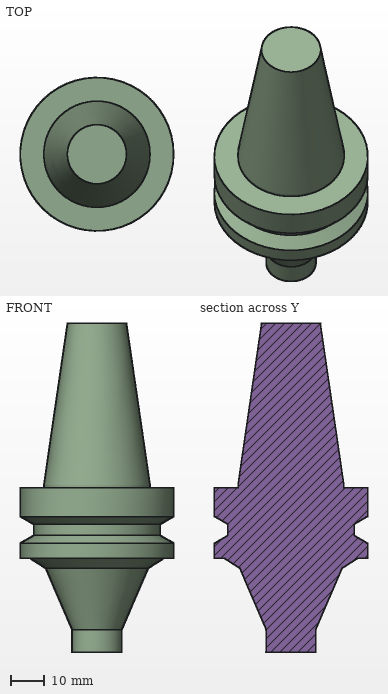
import cadquery as cq
import math

flange_diameter = 46.0
groove_diameter = 38.0
taper_large_diameter = 31.8
taper_ratio = 7 / 24
nose_diameter = 15.0
body_diameter = 30.7
shoulder_diameter = 39.95

nose_top = 6.8
body_top = 25.1
flange_bottom = 28.0
flange_top = 49.2
taper_bottom = 50.1
total_height = 98.4

groove_center = 36.6
groove_floor_width = 3.3
groove_wall_angle = 30.0

groove_depth = (flange_diameter - groove_diameter) / 2
wall_height = groove_depth * math.tan(math.radians(groove_wall_angle))
floor_bottom = groove_center - groove_floor_width / 2
floor_top = groove_center + groove_floor_width / 2
taper_small_diameter = taper_large_diameter - taper_ratio * (total_height - taper_bottom)

profile = [
    (nose_diameter, 0),
    (nose_diameter, nose_top),
    (body_diameter, body_top),
    (shoulder_diameter, flange_bottom),
    (flange_diameter, flange_bottom),
    (flange_diameter, floor_bottom - wall_height),
    (groove_diameter, floor_bottom),
    (groove_diameter, floor_top),
    (flange_diameter, floor_top + wall_height),
    (flange_diameter, flange_top),
    (taper_large_diameter, flange_top),
    (taper_large_diameter, taper_bottom),
    (taper_small_diameter, total_height),
]

outline = [(0, 0)]
outline += [(diameter / 2, height) for diameter, height in profile]
outline += [(0, total_height)]
result = cq.Workplane("XZ").polyline(outline).close().revolve(360, (0, 0, 0), (0, 1, 0))